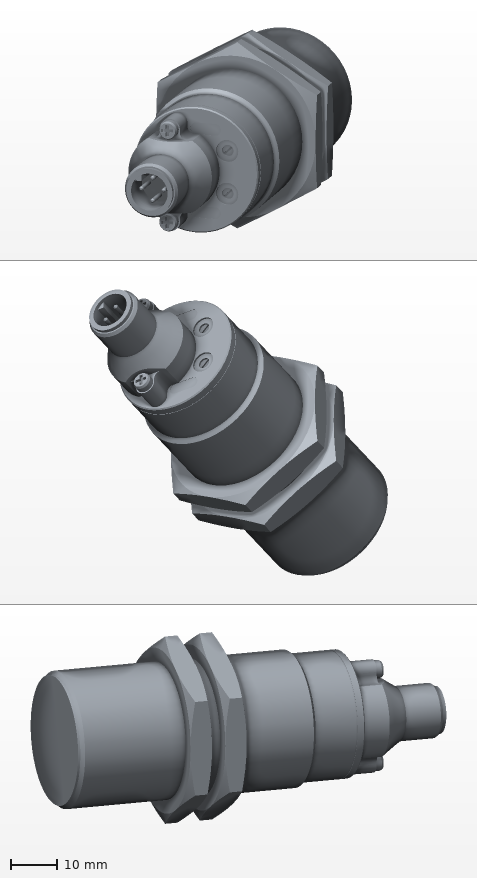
import cadquery as cq
import math

overall_length = 87.0

barrel_diameter = 30.0
sensing_face_diameter = 28.4
sensing_lip_length = 0.5
sensing_chamfer_length = 0.8
barrel_end = 54.2
neck_diameter = 28.0
neck_start = 55.0
neck_end = 66.5
neck_edge_chamfer = 0.3
groove_diameter = 27.8
groove_start = 64.5
groove_width = 0.3

nut_across_flats = 36.0
nut_thickness = 5.0
nut_starts = (24.5, 32.5)
nut_chamfer_angle = math.radians(21)

connector_x = -4.2
hub_right_radius = 9.5
hub_left_radius = 9.3
hub_flat_height = 8.0
taper_start = 72.0
taper_end = 77.4

plug_diameter = 12.0
plug_chamfer_start = 85.4
plug_chamfer_end = 86.1
plug_shoulder_diameter = 11.05
plug_tip_diameter = 10.4
socket_diameter = 8.3
socket_depth = 7.8
pin_diameter = 1.0
pin_circle_radius = 2.5
pin_tip_gap = 2.1
pin_tip_chamfer = 0.3
pin_count = 4
key_corner = 2.1
key_gap = 0.9

ear_radius = 2.3
ear_fillet = 1.6
ear_center_height = 10.3
ear_end = taper_start
screw_diameter = 4.0
screw_head_end = 73.9
screw_chamfer_length = 0.5
screw_chamfer_width = 0.3
cross_length = 2.6
cross_width = 0.8
cross_depth = 0.7

adjuster_x = 7.05
adjuster_z = 4.8
adjuster_recess_diameter = 5.0
adjuster_recess_depth = 0.4
adjuster_diameter = 2.5
adjuster_depth = 0.4
slot_width = 0.4
slot_depth = 0.35
slot_angle = 45
window_center_x = 2.2
window_center_z = 9.3
window_length = 6.9
window_width = 2.6
window_depth = 0.1

MIRROR_SIDES = (1, -1)


def cross_plane(distance, x=0.0):
    """Workplane across the axis, facing the plug; local x is X and local y is Z."""
    return cq.Workplane("XZ", origin=(x, -distance, 0))


def turned(profile, x=0.0):
    """Solid of revolution about the Y direction from (diameter, distance) pairs."""
    points = [(diameter / 2, -distance) for diameter, distance in profile]
    points = [(0, points[0][1])] + points + [(0, points[-1][1])]
    solid = cq.Workplane("XY").polyline(points).close().revolve(360, (0, 0, 0), (0, 1, 0))
    return solid.translate((x, 0, 0))


def make_barrel():
    groove_end = groove_start + groove_width
    return turned([
        (sensing_face_diameter, 0),
        (sensing_face_diameter, sensing_lip_length),
        (barrel_diameter, sensing_lip_length + sensing_chamfer_length),
        (barrel_diameter, barrel_end),
        (neck_diameter, neck_start),
        (neck_diameter, groove_start),
        (groove_diameter, groove_start),
        (groove_diameter, groove_end),
        (neck_diameter, groove_end),
        (neck_diameter, neck_end - neck_edge_chamfer),
        (neck_diameter - 2 * neck_edge_chamfer, neck_end),
    ])


def adjuster_cut(side):
    """Stepped recess of one adjuster, with a screwdriver slot in its floor."""
    center = (adjuster_x, side * adjuster_z)
    recess = cross_plane(neck_end).center(*center).circle(adjuster_recess_diameter / 2)
    recess = recess.extrude(-adjuster_recess_depth)
    floor = adjuster_recess_depth + adjuster_depth
    bore = cross_plane(neck_end).center(*center).circle(adjuster_diameter / 2)
    bore = bore.extrude(-floor)
    slot_plane = cross_plane(neck_end - floor).center(*center).transformed(rotate=(0, 0, slot_angle))
    slot = slot_plane.slot2D(adjuster_diameter, slot_width).extrude(-slot_depth)
    return recess.union(bore).union(slot)


def window_cut(side):
    plane = cross_plane(neck_end).center(window_center_x, side * window_center_z)
    return plane.slot2D(window_length, window_width).extrude(-window_depth)


def make_hub():
    """Stub with two flats; the taper cuts its outline down to the plug diameter."""
    right_x = math.sqrt(hub_right_radius**2 - hub_flat_height**2)
    left_x = math.sqrt(hub_left_radius**2 - hub_flat_height**2)
    outline = (
        cross_plane(neck_end, connector_x)
        .moveTo(right_x, -hub_flat_height)
        .threePointArc((hub_right_radius, 0), (right_x, hub_flat_height))
        .lineTo(-left_x, hub_flat_height)
        .threePointArc((-hub_left_radius, 0), (-left_x, -hub_flat_height))
        .close()
    )
    taper = turned([
        (2 * hub_right_radius, neck_end),
        (2 * hub_right_radius, taper_start),
        (plug_diameter, taper_end),
    ], connector_x)
    return outline.extrude(taper_end - neck_end).intersect(taper)


def make_plug():
    return turned([
        (plug_diameter, taper_end),
        (plug_diameter, plug_chamfer_start),
        (plug_shoulder_diameter, plug_chamfer_end),
        (plug_tip_diameter, plug_chamfer_end),
        (plug_tip_diameter, overall_length),
    ], connector_x)


def socket_cut():
    """Plug socket, leaving the square-cornered coding key standing on its wall."""
    floor = overall_length - socket_depth
    bore = cross_plane(floor, connector_x).circle(socket_diameter / 2).extrude(socket_depth)
    key_size = socket_diameter
    key_middle = key_corner + key_size / 2
    key = cross_plane(floor, connector_x).center(-key_middle, key_middle).rect(key_size, key_size)
    return bore.cut(key.extrude(socket_depth - key_gap))


def make_pin(index):
    angle = index * 2 * math.pi / pin_count
    center = (pin_circle_radius * math.cos(angle), pin_circle_radius * math.sin(angle))
    floor = overall_length - socket_depth
    pin = cross_plane(floor, connector_x).center(*center).circle(pin_diameter / 2)
    return pin.extrude(socket_depth - pin_tip_gap).faces("<Y").chamfer(pin_tip_chamfer)


def make_ear():
    """Upper ear, blended into the hub flat, with the fixing screw head on its end."""
    foot_x = ear_radius + ear_fillet
    blend_z = hub_flat_height + ear_fillet
    blend_offset = ear_fillet * math.sqrt(0.5)
    blend_mid = (foot_x - blend_offset, blend_z - blend_offset)
    ear = (
        cross_plane(neck_end, connector_x)
        .moveTo(foot_x, hub_flat_height)
        .threePointArc(blend_mid, (ear_radius, blend_z))
        .lineTo(ear_radius, ear_center_height)
        .threePointArc((0, ear_center_height + ear_radius), (-ear_radius, ear_center_height))
        .lineTo(-ear_radius, blend_z)
        .threePointArc((-blend_mid[0], blend_mid[1]), (-foot_x, hub_flat_height))
        .close()
        .extrude(ear_end - neck_end)
    )
    head = cross_plane(ear_end, connector_x).center(0, ear_center_height).circle(screw_diameter / 2)
    head = head.extrude(screw_head_end - ear_end)
    head = head.faces("<Y").edges().chamfer(screw_chamfer_length, screw_chamfer_width)
    recess_plane = cross_plane(screw_head_end, connector_x).center(0, ear_center_height)
    for length, width in ((cross_length, cross_width), (cross_width, cross_length)):
        head = head.cut(recess_plane.rect(length, width).extrude(-cross_depth))
    return ear.union(head)


def make_sensor():
    sensor = make_barrel()
    for side in MIRROR_SIDES:
        sensor = sensor.cut(adjuster_cut(side)).cut(window_cut(side))
    sensor = sensor.union(make_hub()).union(make_plug())
    upper_ear = make_ear()
    sensor = sensor.union(upper_ear).union(upper_ear.mirror("XY"))
    sensor = sensor.cut(socket_cut())
    for index in range(pin_count):
        sensor = sensor.union(make_pin(index))
    return sensor


def make_nut(start):
    """Hexagon nut with corners up and down, both ends chamfered down to the flats circle."""
    across_corners = nut_across_flats / math.cos(math.pi / 6)
    chamfer_length = (across_corners - nut_across_flats) / 2 * math.tan(nut_chamfer_angle)
    end = start + nut_thickness
    hexagon = cross_plane(start).polygon(6, across_corners).extrude(nut_thickness)
    hexagon = hexagon.rotate((0, 0, 0), (0, 1, 0), 30)
    chamfered = turned([
        (nut_across_flats, start),
        (across_corners, start + chamfer_length),
        (across_corners, end - chamfer_length),
        (nut_across_flats, end),
    ])
    bore = cross_plane(start).circle(barrel_diameter / 2).extrude(nut_thickness)
    return hexagon.intersect(chamfered).cut(bore)


sensor = make_sensor()
nuts = [make_nut(start) for start in nut_starts]

result = cq.Compound.makeCompound([sensor.val(), *[nut.val() for nut in nuts]])